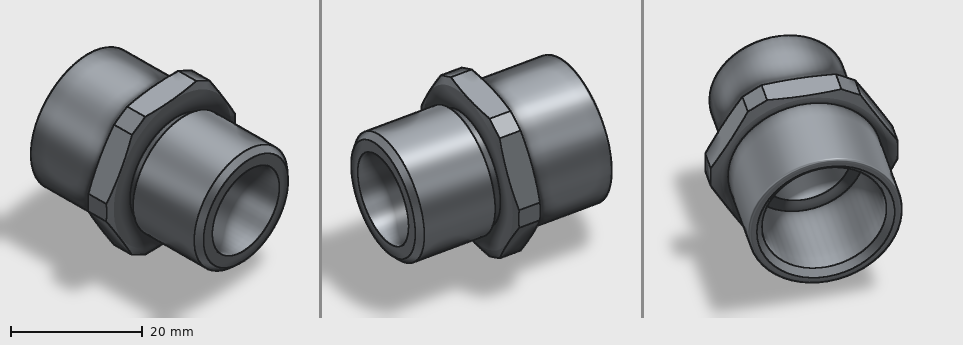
import cadquery as cq
import math

total_length = 33.5
sleeve_length = 14.0
nut_width = 4.5
neck_length = 1.5
thread_length = total_length - sleeve_length - nut_width - neck_length

sleeve_diameter = 24.0
sleeve_edge_radius = 0.5
neck_diameter = 19.25
thread_diameter = 21.25
thread_chamfer = 1.0

nut_across_flats = 27.0
nut_across_corners = 29.18
nut_front_face_diameter = 26.05
nut_back_face_diameter = 26.65
nut_bevel_angle = 15

countersink_diameter = 21.5
socket_diameter = 19.43
countersink_depth = (countersink_diameter - socket_diameter) / 2
socket_depth = sleeve_length + countersink_depth
through_diameter = 15.2

sleeve_end = -total_length / 2
nut_start = sleeve_end + sleeve_length
nut_end = nut_start + nut_width
thread_start = nut_end + neck_length


def cylinder(start, length, diameter):
    """Solid cylinder along +X from the plane x = start."""
    return cq.Workplane("YZ", origin=(start, 0, 0)).circle(diameter / 2).extrude(length)


def corner_radius(across_flats):
    """Distance from the axis to a sharp corner of a regular hexagon."""
    return across_flats / 2 / math.cos(math.radians(30))


def hexagon(across_flats, corner_turn):
    """Hexagonal prism of the nut's width; at zero turn a corner points along Y."""
    corner_circle = 2 * corner_radius(across_flats)
    prism = cq.Workplane("YZ", origin=(nut_start, 0, 0)).polygon(6, corner_circle).extrude(nut_width)
    return prism.rotate((0, 0, 0), (1, 0, 0), corner_turn)


def make_nut():
    """Corner-cut hexagon with a conical bevel on both faces."""
    front_radius = nut_front_face_diameter / 2
    back_radius = nut_back_face_diameter / 2
    rim_radius = corner_radius(nut_across_flats)
    slope = math.tan(math.radians(nut_bevel_angle))
    front_bevel = (rim_radius - front_radius) * slope
    back_bevel = (rim_radius - back_radius) * slope
    bevel_envelope = (
        cq.Workplane("XY")
        .moveTo(nut_start, 0)
        .lineTo(nut_start, front_radius)
        .lineTo(nut_start + front_bevel, rim_radius)
        .lineTo(nut_end - back_bevel, rim_radius)
        .lineTo(nut_end, back_radius)
        .lineTo(nut_end, 0)
        .close()
        .revolve(360, (0, 0, 0), (1, 0, 0))
    )
    flats = hexagon(nut_across_flats, 0)
    corner_cuts = hexagon(nut_across_corners, 30)
    return flats.intersect(corner_cuts).intersect(bevel_envelope)


def make_bore():
    """Countersink, socket and through hole as one cutting solid."""
    socket = cylinder(sleeve_end, socket_depth, socket_diameter)
    through_hole = cylinder(sleeve_end, total_length, through_diameter)
    countersink = (
        cq.Workplane("XY")
        .moveTo(sleeve_end, 0)
        .lineTo(sleeve_end, countersink_diameter / 2)
        .lineTo(sleeve_end + countersink_depth, socket_diameter / 2)
        .lineTo(sleeve_end + countersink_depth, 0)
        .close()
        .revolve(360, (0, 0, 0), (1, 0, 0))
    )
    return socket.union(through_hole).union(countersink)


sleeve = cylinder(sleeve_end, sleeve_length, sleeve_diameter).faces("<X").edges().fillet(sleeve_edge_radius)
neck = cylinder(nut_end, neck_length, neck_diameter)
thread = cylinder(thread_start, thread_length, thread_diameter).faces(">X").edges().chamfer(thread_chamfer)

result = sleeve.union(make_nut()).union(neck).union(thread).cut(make_bore())